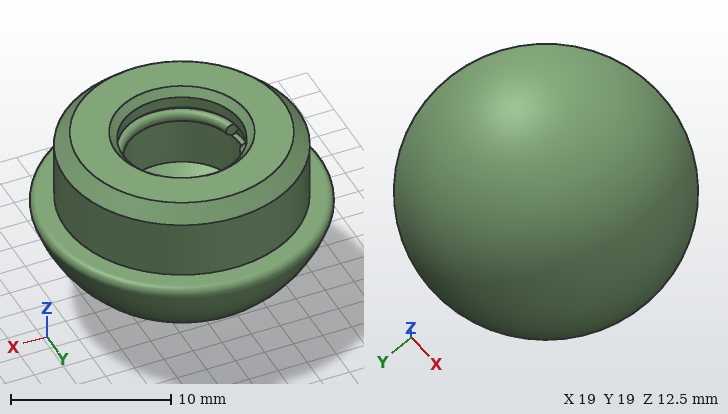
import cadquery as cq
import math

ball_radius = 10.0
shoulder_height = 7.5
shoulder_rounding = 0.5
neck_radius = 8.0
neck_height = 5.0
neck_chamfer = 1.0
total_height = shoulder_height + neck_height

bore_radius = 4.05
bore_chamfer = 0.5
bore_wall_depth = 5.7
dish_radius = 2 * bore_radius

wire_radius = 0.4
ring_inner_radius = 3.65
ring_radius = ring_inner_radius + wire_radius
ring_depth = 1.9
ring_gap = 2.0
ring_height = total_height - ring_depth

groove_top_depth = 1.3
groove_width = 1.1
groove_radius = ring_radius + wire_radius


def make_blank():
    """Ball segment with a rounded rim, and the chamfered neck on top."""
    rounding_height = shoulder_height - shoulder_rounding
    rounding_drop = ball_radius - rounding_height
    rounding_reach = ball_radius - shoulder_rounding
    rounding_x = math.sqrt(rounding_reach**2 - rounding_drop**2)

    tangent_scale = ball_radius / rounding_reach
    tangent_x = rounding_x * tangent_scale
    tangent_z = ball_radius - rounding_drop * tangent_scale

    half_angle = math.asin(tangent_x / ball_radius) / 2
    ball_mid = (ball_radius * math.sin(half_angle), ball_radius * (1 - math.cos(half_angle)))
    rim_point = (rounding_x + shoulder_rounding, rounding_height)

    return (
        cq.Workplane("XZ")
        .lineTo(0, total_height)
        .lineTo(neck_radius - neck_chamfer, total_height)
        .lineTo(neck_radius, total_height - neck_chamfer)
        .lineTo(neck_radius, shoulder_height)
        .lineTo(rounding_x, shoulder_height)
        .threePointArc(rim_point, (tangent_x, tangent_z))
        .threePointArc(ball_mid, (0, 0))
        .close()
        .revolve(360, (0, 0, 0), (0, 1, 0))
    )


def make_bore():
    """Bore volume: entry chamfer, straight wall and spherical dished floor."""
    wall_bottom = total_height - bore_wall_depth
    dish_center = wall_bottom + math.sqrt(dish_radius**2 - bore_radius**2)
    half_angle = math.asin(bore_radius / dish_radius) / 2
    dish_mid = (dish_radius * math.sin(half_angle), dish_center - dish_radius * math.cos(half_angle))

    return (
        cq.Workplane("XZ")
        .moveTo(0, total_height)
        .lineTo(bore_radius + bore_chamfer, total_height)
        .lineTo(bore_radius, total_height - bore_chamfer)
        .lineTo(bore_radius, wall_bottom)
        .threePointArc(dish_mid, (0, dish_center - dish_radius))
        .close()
        .revolve(360, (0, 0, 0), (0, 1, 0))
    )


def make_groove():
    """Disc that opens the snap ring groove in the bore wall."""
    return (
        cq.Workplane("XY")
        .workplane(offset=total_height - groove_top_depth)
        .circle(groove_radius)
        .extrude(-groove_width)
    )


def make_foot():
    """Foot with its bore and the groove that holds the snap ring."""
    return make_blank().cut(make_bore()).cut(make_groove())


def make_snap_ring():
    """Snap ring, opened by a parallel-sided gap on the -X side."""
    torus = cq.Solid.makeTorus(ring_radius, wire_radius, cq.Vector(0, 0, ring_height))
    gap_reach = ring_radius + 2 * wire_radius
    gap_cut_height = 4 * wire_radius
    gap = (
        cq.Workplane("XY")
        .box(gap_reach, ring_gap, gap_cut_height)
        .translate((-gap_reach / 2, 0, ring_height))
    )
    return cq.Workplane(obj=torus).cut(gap)


foot = make_foot()
snap_ring = make_snap_ring()

result = cq.Compound.makeCompound([foot.val(), snap_ring.val()])